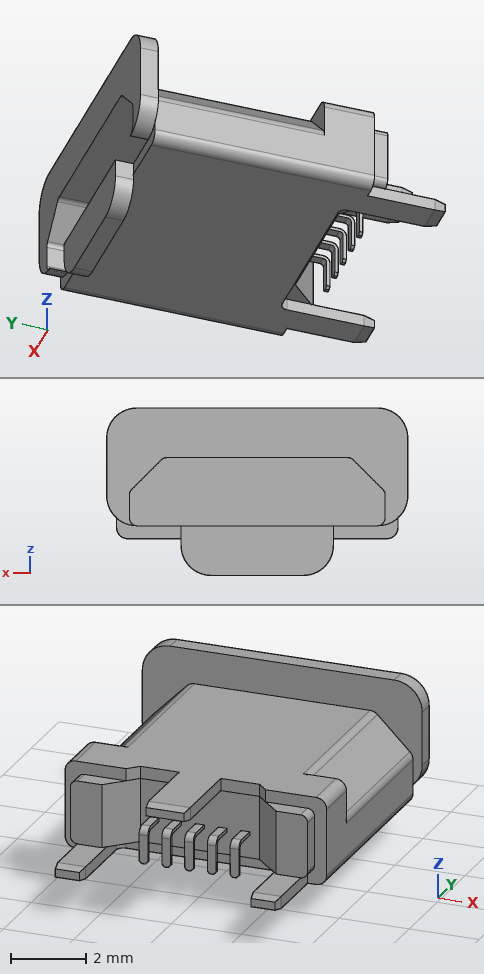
import cadquery as cq
import math


total_depth = 8.9

flange_width = 8.0
flange_thickness = 0.51
flange_height = 4.45
flange_ledge_height = 0.35
flange_tongue_width = 4.05
flange_radius = 0.8

shell_width = 7.48
shell_height = 2.5
shell_wall = 0.35
shell_depth = 6.69
shell_radius = 0.3
bevel_leg = 1.1
bevel_depth = 5.28
cavity_radius = 0.205
pocket_depth = bevel_depth + shell_wall

recess_depth = 6.4
recess_half_width = 1.7
lower_notch_depth = 6.2
lower_notch_radius = 0.205

center_leg_width = 1.19
side_leg_width = 0.8
side_leg_x = 2.795
leg_tip_length = 0.31
leg_tip_taper = 10.0

insulator_depth = 7.19

contact_count = 5
contact_pitch = 0.65
contact_width = 0.25
contact_thickness = 0.1
contact_top = 1.095
contact_bottom = 0.06
contact_bend_radius = 0.205
contact_tip_chamfer = 0.07

flange_margin = (flange_height - shell_height) / 2
cavity_width = shell_width - 2 * shell_wall
cavity_height = shell_height - 2 * shell_wall
cavity_bevel_leg = bevel_leg - shell_wall * (2 - math.sqrt(2))


def at_depth(depth):
    """Plane across the connector whose normal points towards -Y."""
    return cq.Workplane("XZ", origin=(0, -depth, 0))


def box_between(width, height, bottom, start, end, x=0):
    """Box centred on x, standing on height `bottom`, from depth `start` to `end`."""
    return at_depth(start).center(x, bottom + height / 2).rect(width, height).extrude(end - start)


def rounded_box(width, height, bottom, start, end, radius):
    return box_between(width, height, bottom, start, end).edges("|Y").fillet(radius)


def beveled_box(width, height, bottom, start, end, radius, leg):
    """Box with 45 degree bevels on its upper corners and every long edge rounded."""
    half = width / 2
    top = bottom + height
    outline = [
        (-half, bottom),
        (half, bottom),
        (half, top - leg),
        (half - leg, top),
        (leg - half, top),
        (-half, top - leg),
    ]
    block = at_depth(start).polyline(outline).close().extrude(end - start)
    return block.edges("|Y").fillet(radius)


def make_flange():
    upper_height = shell_height + flange_margin - flange_ledge_height
    upper = rounded_box(flange_width, upper_height, flange_ledge_height, 0, flange_thickness, flange_radius)
    tongue_height = flange_margin + shell_height / 2
    tongue = box_between(flange_tongue_width, tongue_height, -flange_margin, 0, flange_thickness)
    tongue = tongue.edges("|Y and <Z").fillet(flange_radius)
    return upper.union(tongue)


def make_leg(x, width, bottom, start):
    """Flat leg ending in a tip that tapers on all four sides."""
    tip_start = total_depth - leg_tip_length
    blade = box_between(width, shell_wall, bottom, start, tip_start, x)
    tip_plane = at_depth(tip_start).center(x, bottom + shell_wall / 2)
    tip = tip_plane.rect(width, shell_wall).extrude(leg_tip_length, taper=leg_tip_taper)
    return blade.union(tip)


def make_recess(height, bottom):
    """Cutter for the rear recess, with sides that flare at 45 degrees towards the back."""
    flare = total_depth - recess_depth
    outline = [
        (-recess_half_width, -recess_depth),
        (recess_half_width, -recess_depth),
        (recess_half_width + flare, -total_depth),
        (-recess_half_width - flare, -total_depth),
    ]
    return cq.Workplane("XY", origin=(0, 0, bottom)).polyline(outline).close().extrude(height)


def make_cavity():
    """Beveled passage from the mouth, then the square pocket that holds the insulator."""
    passage = beveled_box(
        cavity_width, cavity_height, shell_wall, 0, pocket_depth, cavity_radius, cavity_bevel_leg
    )
    return passage.union(make_insulator_block(shell_depth))


def make_lower_notch():
    """Cutter between the side legs, through the floor of the shell."""
    width = 2 * side_leg_x - side_leg_width
    notch = box_between(width, shell_wall, 0, lower_notch_depth, total_depth)
    return notch.edges("|Z and >Y").fillet(lower_notch_radius)


def make_shell():
    front = beveled_box(
        shell_width, shell_height, 0, flange_thickness, bevel_depth, shell_radius, bevel_leg
    )
    rear = rounded_box(shell_width, shell_height, 0, bevel_depth, shell_depth, shell_radius)
    shell = make_flange().union(front).union(rear)
    shell = shell.cut(make_cavity())
    roof_bottom = shell_height - shell_wall
    shell = shell.cut(make_recess(shell_wall, roof_bottom)).cut(make_lower_notch())
    shell = shell.union(make_leg(0, center_leg_width, roof_bottom, recess_depth))
    for x in (-side_leg_x, side_leg_x):
        shell = shell.union(make_leg(x, side_leg_width, 0, shell_depth))
    return shell


def make_insulator_block(end):
    return rounded_box(cavity_width, cavity_height, shell_wall, pocket_depth, end, cavity_radius)


def make_insulator():
    return make_insulator_block(insulator_depth).cut(make_recess(cavity_height, shell_wall))


def make_contact(x):
    """Flat strip that leaves the insulator, bends down and ends in a chamfered tip."""
    back = -insulator_depth
    inner_back = back + contact_thickness
    underside = contact_top - contact_thickness
    outline = [
        (-recess_depth, contact_top),
        (back, contact_top),
        (back, contact_bottom),
        (inner_back, contact_bottom),
        (inner_back, underside),
        (-recess_depth, underside),
    ]
    left_side = cq.Workplane("YZ", origin=(x - contact_width / 2, 0, 0))
    contact = left_side.polyline(outline).close().extrude(contact_width)
    inner_bend = cq.selectors.NearestToPointSelector((x, inner_back, underside))
    contact = contact.edges(inner_bend).fillet(contact_bend_radius - contact_thickness)
    outer_bend = cq.selectors.NearestToPointSelector((x, back, contact_top))
    contact = contact.edges(outer_bend).fillet(contact_bend_radius)
    return contact.faces("<Z").edges("|Y").chamfer(contact_tip_chamfer)


shell = make_shell()
insulator = make_insulator()
contacts = []
for index in range(contact_count):
    contact_x = (index - (contact_count - 1) / 2) * contact_pitch
    contacts.append(make_contact(contact_x).val())

result = cq.Compound.makeCompound([shell.val(), insulator.val(), *contacts])